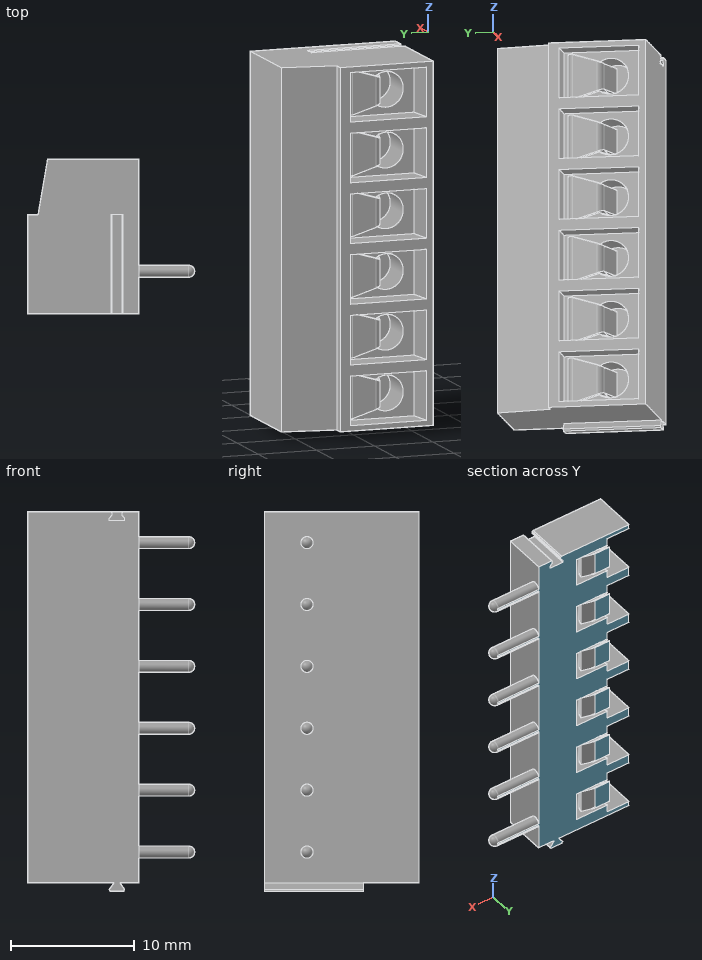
import cadquery as cq
import math

POLES = 6
PITCH = 5.0
HEIGHT = POLES * PITCH
DEPTH_X = 9.0
WIDTH_Y = 12.5
STEP_Y = 8.0
STEP_X = 0.83
SLOPE_TOP_X = 1.6

JOINT_X = 7.2
RAIL_HEIGHT = 0.67
RAIL_NECK = 0.52
RAIL_WIDEST = 1.25
RAIL_BOTTOM = 1.1
RAIL_WIDEST_DEPTH = 0.52
GROOVE_DEPTH = 0.7
GROOVE_MOUTH = 0.98
GROOVE_NECK = 0.8
GROOVE_BASE = 1.25
GROOVE_MOUTH_DEPTH = 0.1
GROOVE_NECK_DEPTH = 0.28
GROOVE_BASE_DEPTH = 0.55

POCKET_START_Y = 0.58
POCKET_END_Y = 7.12
POCKET_HEIGHT = 4.08
POCKET_DEPTH = 2.15
POCKET_TAPER = 0.3
HOLE_Y = 3.28
HOLE_RADIUS = 1.47
HOLE_DEPTH = 3.07

TONGUE_THICKNESS = 0.43
TONGUE_BACK_Y = 6.78
TONGUE_BEND_Y = 4.33
TONGUE_TIP_Y = 3.2
BEND_RADIUS = 0.52
BEND_ANGLE = math.radians(75)
TONGUE_BACK_WIDTH = 3.68
TONGUE_BEND_WIDTH = 2.45
TONGUE_TIP_WIDTH = 2.1

PIN_RADIUS = 0.5
PIN_LENGTH = 4.5
PIN_Y = 3.45


def make_housing():
    """Block with a forward wire entry face and a sloped face beside it."""
    outline = [
        (0, 0),
        (DEPTH_X, 0),
        (DEPTH_X, WIDTH_Y),
        (SLOPE_TOP_X, WIDTH_Y),
        (STEP_X, STEP_Y),
        (0, STEP_Y),
    ]
    return cq.Workplane("XY").polyline(outline).close().extrude(HEIGHT)


def extrude_joint(half_outline):
    """Mirror (half width, height) points about the joint line and run them along Y."""
    right_side = [(JOINT_X + half, z) for half, z in half_outline]
    left_side = [(JOINT_X - half, z) for half, z in reversed(half_outline)]
    return cq.Workplane("XZ").polyline(right_side + left_side).close().extrude(-STEP_Y)


def make_rail():
    """Dovetail rail under the housing."""
    return extrude_joint([
        (RAIL_NECK / 2, 0),
        (RAIL_WIDEST / 2, -RAIL_WIDEST_DEPTH),
        (RAIL_BOTTOM / 2, -RAIL_HEIGHT),
    ])


def make_groove():
    """Matching dovetail groove in the top face."""
    return extrude_joint([
        (GROOVE_MOUTH / 2, HEIGHT),
        (GROOVE_NECK / 2, HEIGHT - GROOVE_MOUTH_DEPTH),
        (GROOVE_NECK / 2, HEIGHT - GROOVE_NECK_DEPTH),
        (GROOVE_BASE / 2, HEIGHT - GROOVE_BASE_DEPTH),
        (GROOVE_BASE / 2, HEIGHT - GROOVE_DEPTH),
    ])


def make_pocket(z):
    """Rectangular pocket with one leaning wall and a round hole in its floor."""
    outline = [
        (0, POCKET_START_Y),
        (POCKET_DEPTH, POCKET_START_Y + POCKET_TAPER),
        (POCKET_DEPTH, POCKET_END_Y),
        (0, POCKET_END_Y),
    ]
    pocket = (
        cq.Workplane("XY", origin=(0, 0, z))
        .polyline(outline)
        .close()
        .extrude(POCKET_HEIGHT / 2, both=True)
    )
    hole = (
        cq.Workplane("YZ", origin=(POCKET_DEPTH, HOLE_Y, z))
        .circle(HOLE_RADIUS)
        .extrude(HOLE_DEPTH)
    )
    return pocket.union(hole)


def make_tongue(z):
    """Sheet strip rounded at its back, tapering to a tip bent down into the hole."""
    face_x = POCKET_DEPTH - TONGUE_THICKNESS
    inner_radius = BEND_RADIUS - TONGUE_THICKNESS
    bend_x = face_x + BEND_RADIUS

    def on_bend(radius, angle):
        return (bend_x - radius * math.cos(angle), TONGUE_BEND_Y - radius * math.sin(angle))

    outer_end = on_bend(BEND_RADIUS, BEND_ANGLE)
    inner_end = on_bend(inner_radius, BEND_ANGLE)
    tip_run = outer_end[1] - TONGUE_TIP_Y
    tip_drop = tip_run * math.tan(BEND_ANGLE)
    back_corner = TONGUE_THICKNESS * math.sqrt(0.5)

    side = (
        cq.Workplane("XY", origin=(0, 0, z))
        .moveTo(POCKET_DEPTH, TONGUE_BACK_Y)
        .threePointArc(
            (POCKET_DEPTH - back_corner, TONGUE_BACK_Y - TONGUE_THICKNESS + back_corner),
            (face_x, TONGUE_BACK_Y - TONGUE_THICKNESS),
        )
        .lineTo(face_x, TONGUE_BEND_Y)
        .threePointArc(on_bend(BEND_RADIUS, BEND_ANGLE / 2), outer_end)
        .lineTo(outer_end[0] + tip_drop, TONGUE_TIP_Y)
        .lineTo(inner_end[0] + tip_drop, inner_end[1] - tip_run)
        .lineTo(*inner_end)
        .threePointArc(on_bend(inner_radius, BEND_ANGLE / 2), (POCKET_DEPTH, TONGUE_BEND_Y))
        .close()
        .extrude(TONGUE_BACK_WIDTH / 2, both=True)
    )

    half_plan = [
        (TONGUE_BACK_Y, TONGUE_BACK_WIDTH / 2),
        (TONGUE_BACK_Y - TONGUE_THICKNESS, TONGUE_BACK_WIDTH / 2),
        (TONGUE_BEND_Y, TONGUE_BEND_WIDTH / 2),
        (outer_end[1], TONGUE_TIP_WIDTH / 2),
        (TONGUE_TIP_Y, TONGUE_TIP_WIDTH / 2),
    ]
    mirrored = [(y, -half) for y, half in reversed(half_plan)]
    plan = (
        cq.Workplane("YZ", origin=(0, 0, z))
        .polyline(half_plan + mirrored)
        .close()
        .extrude(DEPTH_X)
    )
    return side.intersect(plan)


def make_pin(z):
    """Round pin with a hemispherical end."""
    return (
        cq.Workplane("XY", origin=(DEPTH_X, PIN_Y, z))
        .lineTo(PIN_LENGTH, 0)
        .threePointArc(
            (
                PIN_LENGTH - PIN_RADIUS * (1 - math.sqrt(0.5)),
                PIN_RADIUS * math.sqrt(0.5),
            ),
            (PIN_LENGTH - PIN_RADIUS, PIN_RADIUS),
        )
        .lineTo(0, PIN_RADIUS)
        .close()
        .revolve(360, (0, 0, 0), (1, 0, 0))
    )


result = make_housing().union(make_rail()).cut(make_groove())
for pole in range(POLES):
    pole_z = (pole + 0.5) * PITCH
    result = result.cut(make_pocket(pole_z)).union(make_tongue(pole_z)).union(make_pin(pole_z))